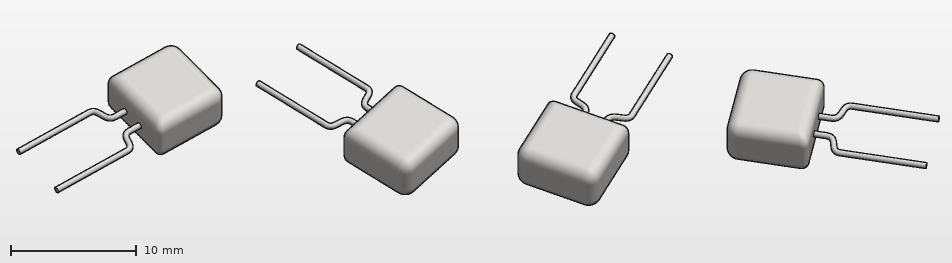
import cadquery as cq

case_width = 7.12
case_depth = 6.73
case_height = 4.08
edge_radius = 1.0
front_corner_radius = 0.5

overall_length = 16.14
lead_diameter = 0.5
inner_lead_offset = 0.95
outer_lead_offset = 2.53
stub_length = 0.98
bend_length = 1.42
bend_start_pull = 1.07
bend_end_pull = 0.95


def make_case():
    block = cq.Workplane("XY").box(case_width, case_depth, case_height)
    block = block.translate((0, case_depth / 2, 0))
    block = block.edges("|X or |Y or (|Z and >Y)").fillet(edge_radius)
    return block.edges("|Z and <Y").fillet(front_corner_radius)


def make_lead(side):
    """One round wire with an S-bend; side is -1 or +1 along X."""
    def point(offset, y):
        return (side * offset, y)

    bend_start = -stub_length
    bend_end = bend_start - bend_length
    lead_tip = case_depth - overall_length
    path = (
        cq.Workplane("XY")
        .moveTo(*point(inner_lead_offset, 0))
        .lineTo(*point(inner_lead_offset, bend_start))
        .bezier(
            [
                point(inner_lead_offset, bend_start - bend_start_pull),
                point(outer_lead_offset, bend_end + bend_end_pull),
                point(outer_lead_offset, bend_end),
            ],
            includeCurrent=True,
        )
        .lineTo(*point(outer_lead_offset, lead_tip))
    )
    section = cq.Workplane("XZ").center(side * inner_lead_offset, 0).circle(lead_diameter / 2)
    return section.sweep(path)


case = make_case()
leads = [make_lead(side) for side in (-1, 1)]

result = cq.Compound.makeCompound([case.val(), *[lead.val() for lead in leads]])